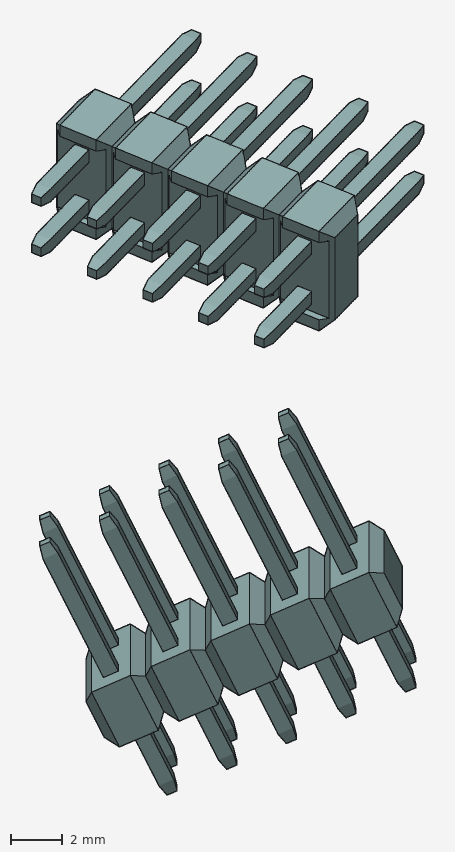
import cadquery as cq

pitch = 2.54
columns = 5
rows = 2

body_depth = pitch
body_height = 5.04
side_chamfer = 0.45
recess_depth = 0.28
recess_height = 3.91

pin_width = 0.64
pin_length = 11.55
pin_front_length = 3.01
tip_width = 0.43
tip_length = 0.52

body_front_y = -body_depth / 2
pin_front_y = body_front_y - pin_front_length
pin_back_y = pin_front_y + pin_length


def centred_positions(count):
    """Positions at one pitch spacing, balanced about zero."""
    return [(index - (count - 1) / 2) * pitch for index in range(count)]


def make_body_block():
    """One column's block: bevelled side faces and a front recess running across it."""
    block = (
        cq.Workplane("XY")
        .box(pitch, body_depth, body_height)
        .faces("<X or >X")
        .edges()
        .chamfer(side_chamfer)
    )
    recess = (
        cq.Workplane("XY")
        .box(pitch, 2 * recess_depth, recess_height)
        .translate((0, body_front_y, 0))
    )
    return block.cut(recess)


def make_tip(base_y, direction):
    """Tapered pin end growing from base_y along +Y or -Y."""
    base_plane = cq.Plane(origin=(0, base_y, 0), xDir=(1, 0, 0), normal=(0, direction, 0))
    return (
        cq.Workplane(base_plane)
        .rect(pin_width, pin_width)
        .workplane(offset=tip_length)
        .rect(tip_width, tip_width)
        .loft(ruled=True)
    )


def make_pin():
    """Square pin along Y with a tapered tip at each end."""
    shank = (
        cq.Workplane("XY")
        .box(pin_width, pin_length - 2 * tip_length, pin_width)
        .translate((0, (pin_front_y + pin_back_y) / 2, 0))
    )
    front_tip = make_tip(pin_front_y + tip_length, -1)
    back_tip = make_tip(pin_back_y - tip_length, 1)
    return shank.union(front_tip).union(back_tip)


body_block = make_body_block()
pin = make_pin()

result = cq.Workplane("XY")
for column_x in centred_positions(columns):
    result = result.union(body_block.translate((column_x, 0, 0)))
    for row_z in centred_positions(rows):
        result = result.union(pin.translate((column_x, 0, row_z)))